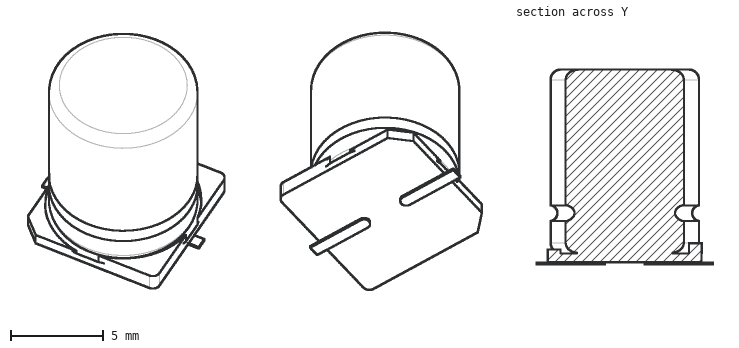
import cadquery as cq

total_height = 10.51
base_width = 8.3
lead_span = 9.5

lead_thickness = 0.13
lead_width = 0.65
lead_inner_gap = 2.14

base_bottom = lead_thickness
low_top = 0.82
high_top = 1.16
corner_chamfer = 1.0
corner_radius = 0.4
recess_radius = 4.2
recess_floor = 0.62

can_radius = 4.0
can_edge_radius = 0.56
groove_bottom = 2.35
groove_top = 3.2
groove_depth = 0.37


def make_base():
    """Square plate, chamfered at -X and rounded at +X, whose -X half is lower."""
    plate = (
        cq.Workplane("XY", origin=(0, 0, base_bottom))
        .rect(base_width, base_width)
        .extrude(high_top - base_bottom)
        .edges("|Z and <X").chamfer(corner_chamfer)
        .edges("|Z and >X").fillet(corner_radius)
    )
    space_above_low_half = (
        cq.Workplane("XY", origin=(-base_width / 2, 0, low_top))
        .rect(base_width, base_width)
        .extrude(high_top - low_top)
    )
    can_recess = (
        cq.Workplane("XY", origin=(0, 0, recess_floor))
        .circle(recess_radius)
        .extrude(high_top - recess_floor)
    )
    return plate.cut(space_above_low_half).cut(can_recess)


def make_can():
    """Cylinder with rounded rims and a crimp groove, standing on the recess floor."""
    rim_circle_radius = can_radius - can_edge_radius
    groove_middle = (groove_bottom + groove_top) / 2
    half_profile = (
        cq.Workplane("XZ")
        .moveTo(0, recess_floor)
        .lineTo(rim_circle_radius, recess_floor)
        .radiusArc((can_radius, recess_floor + can_edge_radius), -can_edge_radius)
        .lineTo(can_radius, groove_bottom)
        .threePointArc((can_radius - groove_depth, groove_middle), (can_radius, groove_top))
        .lineTo(can_radius, total_height - can_edge_radius)
        .radiusArc((rim_circle_radius, total_height), -can_edge_radius)
        .lineTo(0, total_height)
        .close()
    )
    return half_profile.revolve(360, (0, 0, 0), (0, 1, 0))


def make_lead(side):
    """Flat lead under the base with a round inner end; side is -1 or +1 along X."""
    half_width = lead_width / 2
    outer_x = side * lead_span / 2
    inner_x = side * lead_inner_gap / 2
    round_start_x = inner_x + side * half_width
    return (
        cq.Workplane("XY")
        .moveTo(outer_x, -half_width)
        .lineTo(round_start_x, -half_width)
        .threePointArc((inner_x, 0), (round_start_x, half_width))
        .lineTo(outer_x, half_width)
        .close()
        .extrude(lead_thickness)
    )


result = make_base().union(make_can())
for side in (-1, 1):
    result = result.union(make_lead(side))